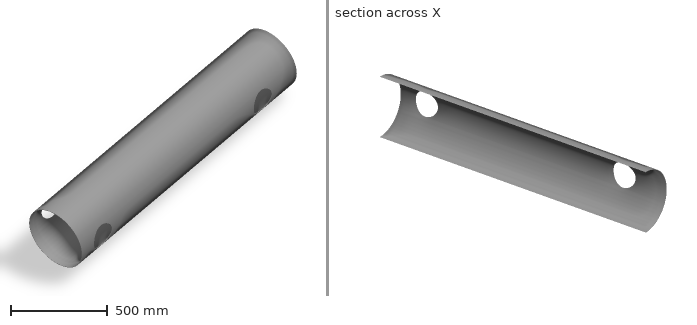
import cadquery as cq

length = 1722.0
outer_diameter = 356.0
inner_diameter = 351.0

hole_diameter = 145.0
front_hole_offset = 169.0
back_hole_offset = 272.0


def make_tube():
    """Tube centred on the origin, with its axis along Y."""
    return (
        cq.Workplane("XZ", origin=(0, length / 2, 0))
        .circle(outer_diameter / 2)
        .circle(inner_diameter / 2)
        .extrude(length)
    )


def make_cross_hole(y):
    """Cutter along X that spans the full tube diameter at the given Y."""
    return (
        cq.Workplane("YZ")
        .center(y, 0)
        .circle(hole_diameter / 2)
        .extrude(outer_diameter, both=True)
    )


hole_positions = (
    -length / 2 + front_hole_offset,
    length / 2 - back_hole_offset,
)

result = make_tube()
for hole_y in hole_positions:
    result = result.cut(make_cross_hole(hole_y))